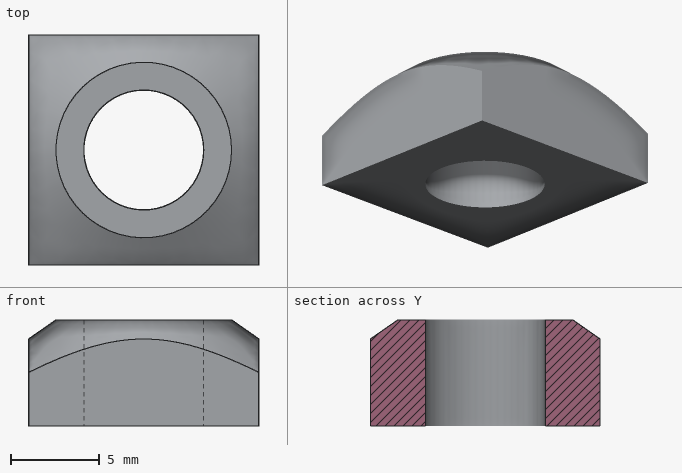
import cadquery as cq
import math

side = 13.0
height = 6.0

hole_diameter = 6.75
top_face_diameter = 9.9
cone_angle = 35.0

top_radius = top_face_diameter / 2
cone_radius = side
cone_drop = (cone_radius - top_radius) * math.tan(math.radians(cone_angle))

block = cq.Workplane("XY").box(side, side, height, centered=(True, True, False))

cone = (
    cq.Workplane("XZ")
    .moveTo(0, 0)
    .lineTo(cone_radius, 0)
    .lineTo(cone_radius, height - cone_drop)
    .lineTo(top_radius, height)
    .lineTo(0, height)
    .close()
    .revolve(360, (0, 0, 0), (0, 1, 0))
)

hole = cq.Workplane("XY").circle(hole_diameter / 2).extrude(height)

result = block.intersect(cone).cut(hole)